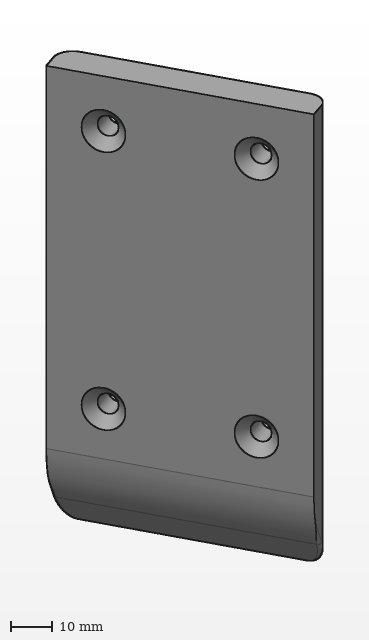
import cadquery as cq
import math

width = 70.0
thickness = 10.0
sharp_length = 130.0
back_radius = 5.0
slope_angle = math.radians(30.0)
bend_radius = 30.0
rim_radius = 1.0

hole_diameter = 5.5
sink_diameter = 11.5
sink_angle = 90.0
hole_spacing_x = 40.0
hole_spacing_z = 76.0
top_hole_inset = 15.0

stock = 5.0
cutter_reach = 3 * stock


def slope_z(y):
    """Height of the sloped plane at depth y."""
    return (thickness - y) / math.tan(slope_angle)


def rounded_wedge():
    """Oversize wedge whose slope rim is rounded: an inset core grown outward by the rim radius."""
    core_back = thickness - rim_radius
    core_top = sharp_length + stock
    slope_rise = rim_radius / math.sin(slope_angle)
    core = (
        cq.Workplane("YZ")
        .moveTo(-stock, core_top)
        .lineTo(-stock, slope_z(-stock) + slope_rise)
        .lineTo(core_back, slope_z(core_back) + slope_rise)
        .lineTo(core_back, core_top)
        .close()
        .extrude(width / 2 - rim_radius, both=True)
        .faces(">Y")
        .edges("|Z")
        .fillet(back_radius - rim_radius)
    )
    skin = core.shell(rim_radius)
    return core.union(skin)


def front_stock():
    """Material ahead of the mounting face and of the bend that blends it into the slope."""
    bend_top = slope_z(0) + bend_radius * math.tan(slope_angle / 2)

    def bend_point(angle):
        """Point (Y, Z) on the bend after turning by the angle from the mounting face."""
        y = bend_radius * (1 - math.cos(angle))
        z = bend_top - bend_radius * math.sin(angle)
        return (y, z)

    bend_end = bend_point(slope_angle)
    cutter_front = -cutter_reach
    cutter_top = sharp_length + cutter_reach
    return (
        cq.Workplane("YZ")
        .moveTo(cutter_front, cutter_top)
        .lineTo(0, cutter_top)
        .lineTo(0, bend_top)
        .threePointArc(bend_point(slope_angle / 2), bend_end)
        .lineTo(cutter_front, bend_end[1])
        .close()
        .extrude(width, both=True)
    )


def top_stock():
    """Material above the flat top edge, covered with room to spare on all sides."""
    return (
        cq.Workplane("XY")
        .workplane(offset=sharp_length)
        .rect(2 * width, 4 * thickness)
        .extrude(cutter_reach)
    )


def drill(body):
    """Four countersunk screw holes through the plate, opening on the mounting face."""
    mid_z = sharp_length - top_hole_inset - hole_spacing_z / 2
    return (
        body.faces("<Y")
        .workplane(origin=(0, 0, mid_z))
        .rarray(hole_spacing_x, hole_spacing_z, 2, 2)
        .cskHole(hole_diameter, sink_diameter, sink_angle)
    )


plate = rounded_wedge().cut(front_stock()).cut(top_stock())
result = drill(plate)